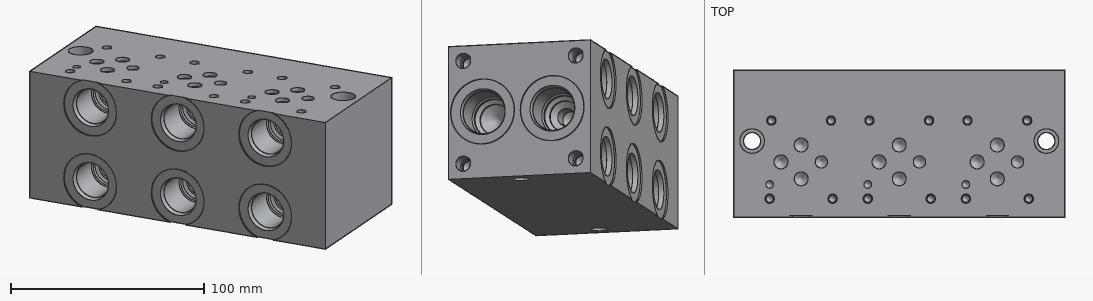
import cadquery as cq
import math

LENGTH = 171.5
WIDTH = 76.1
HEIGHT = 69.8

STATION_PITCH = 50.7
STATION_CENTRES = [LENGTH / 2 + i * STATION_PITCH for i in (-1, 0, 1)]

SPOTFACE_DEPTH = 0.9
SEAT_DEPTH = 2.5
THREAD_DEPTH = 20.5
TAP_DRILL_DEPTH = 23.1
FEED_DEPTH = 25.7
SIDE_PORT = {"spotface": 30.5, "seat": 20.5, "seat_end": 19.2, "thread": 19.0, "tap_drill": 17.5, "feed": 14.2}
END_PORT = {"spotface": 34.1, "seat": 24.0, "seat_end": 22.6, "thread": 22.3, "tap_drill": 20.4, "feed": 16.0}

SIDE_PORT_EDGE = 14.5
RETURN_PORT_Y = 58.0
PRESSURE_PORT_Y = 20.5
PRESSURE_DRILL = 9.1
PRESSURE_DRILL_DEPTH = 37.7

BOLT_THREAD = 4.8
BOLT_THREAD_DEPTH = 10.3
BOLT_DRILL = 3.8
BOLT_DRILL_DEPTH = 13.7
FRONT_BOLT_Y = 9.6
FRONT_BOLT_X = 16.3
BOLT_SPACING_Y = 40.5
REAR_BOLT_Y = FRONT_BOLT_Y + BOLT_SPACING_Y
REAR_BOLT_X = 15.5
LOCATOR_DIAMETER = 4.0
LOCATOR_DEPTH = 5.1
LOCATOR_Y = 17.0
FLOW_DIAMETER = 7.2
FLOW_SMALL_DIAMETER = 6.3
FLOW_DEPTH = 2.0
FLOW_CENTRE_Y = 28.6
FLOW_X = 10.5
FLOW_Y = 8.7

MOUNT_EDGE = 9.6
MOUNT_Y = 39.5
MOUNT_DIAMETER = 8.7
MOUNT_COUNTERBORE = 12.7
MOUNT_COUNTERBORE_DEPTH = 12.0

END_TAP_EDGE = 7.9
END_TAP_THREAD = 7.9
END_TAP_THREAD_DEPTH = 9.5
END_TAP_DRILL = 6.5
END_TAP_DRILL_DEPTH = 12.0

TIP_HALF_ANGLE = 59.0

INTO_TOP = cq.Vector(0, 0, -1)
INTO_FRONT = cq.Vector(0, 1, 0)
INTO_END = cq.Vector(1, 0, 0)


def revolved_cutter(profile, position, direction):
    """Solid of revolution from (radius, depth) points, driven in from position."""
    cutter = cq.Workplane("XY").polyline(profile).close().revolve(360, (0, 0, 0), (0, 1, 0))
    cutter = cutter.rotate((0, 0, 0), (1, 0, 0), 90)
    plane = cq.Plane(origin=position, normal=direction.toTuple())
    return cutter.val().moved(cq.Location(plane))


def drilled_profile(steps):
    """Profile of successively narrower drills, given as (diameter, depth) steps.

    Each drill leaves a cone of the drill point angle below its straight wall.
    """
    slope = math.tan(math.radians(TIP_HALF_ANGLE))
    profile = []
    next_radii = [diameter / 2 for diameter, depth in steps[1:]] + [0]
    for (diameter, depth), next_radius in zip(steps, next_radii):
        radius = diameter / 2
        profile.append((radius, depth))
        profile.append((next_radius, depth + (radius - next_radius) / slope))
    return profile


def drilled_hole(steps, position, direction):
    mouth = [(0, 0), (steps[0][0] / 2, 0)]
    return revolved_cutter(mouth + drilled_profile(steps), position, direction)


def port(sizes, position, direction):
    seat_end_depth = SPOTFACE_DEPTH + SEAT_DEPTH
    mouth = [
        (0, 0),
        (sizes["spotface"] / 2, 0),
        (sizes["spotface"] / 2, SPOTFACE_DEPTH),
        (sizes["seat"] / 2, SPOTFACE_DEPTH),
        (sizes["seat_end"] / 2, seat_end_depth),
        (sizes["thread"] / 2, seat_end_depth),
    ]
    steps = [
        (sizes["thread"], THREAD_DEPTH),
        (sizes["tap_drill"], TAP_DRILL_DEPTH),
        (sizes["feed"], FEED_DEPTH),
    ]
    return revolved_cutter(mouth + drilled_profile(steps), position, direction)


def valve_station(x):
    """Cutters for one valve pattern on the top face and its two front ports."""
    cutters = []
    bolt_steps = [(BOLT_THREAD, BOLT_THREAD_DEPTH), (BOLT_DRILL, BOLT_DRILL_DEPTH)]
    for side in (-1, 1):
        for offset, y in ((FRONT_BOLT_X, FRONT_BOLT_Y), (REAR_BOLT_X, REAR_BOLT_Y)):
            position = (x + side * offset, y, HEIGHT)
            cutters.append(drilled_hole(bolt_steps, position, INTO_TOP))
        work_port = (x, FLOW_CENTRE_Y + side * FLOW_Y, HEIGHT)
        cutters.append(drilled_hole([(FLOW_DIAMETER, FLOW_DEPTH)], work_port, INTO_TOP))
    for offset, diameter in ((-FLOW_X, FLOW_DIAMETER), (FLOW_X, FLOW_SMALL_DIAMETER)):
        position = (x + offset, FLOW_CENTRE_Y, HEIGHT)
        cutters.append(drilled_hole([(diameter, FLOW_DEPTH)], position, INTO_TOP))
    locator = (x - FRONT_BOLT_X, LOCATOR_Y, HEIGHT)
    cutters.append(drilled_hole([(LOCATOR_DIAMETER, LOCATOR_DEPTH)], locator, INTO_TOP))
    for z in (SIDE_PORT_EDGE, HEIGHT - SIDE_PORT_EDGE):
        cutters.append(port(SIDE_PORT, (x, 0, z), INTO_FRONT))
    return cutters


def end_face():
    """Cutters for the pressure and return ports and the four corner taps."""
    middle = HEIGHT / 2
    cutters = [port(END_PORT, (0, y, middle), INTO_END) for y in (PRESSURE_PORT_Y, RETURN_PORT_Y)]
    pressure = (0, PRESSURE_PORT_Y, middle)
    cutters.append(drilled_hole([(PRESSURE_DRILL, PRESSURE_DRILL_DEPTH)], pressure, INTO_END))
    tap_steps = [(END_TAP_THREAD, END_TAP_THREAD_DEPTH), (END_TAP_DRILL, END_TAP_DRILL_DEPTH)]
    for y in (END_TAP_EDGE, WIDTH - END_TAP_EDGE):
        for z in (END_TAP_EDGE, HEIGHT - END_TAP_EDGE):
            cutters.append(drilled_hole(tap_steps, (0, y, z), INTO_END))
    return cutters


block = cq.Workplane("XY").box(LENGTH, WIDTH, HEIGHT, centered=False)
block = (
    block.faces(">Z").workplane(origin=(0, 0, HEIGHT))
    .pushPoints([(MOUNT_EDGE, MOUNT_Y), (LENGTH - MOUNT_EDGE, MOUNT_Y)])
    .cboreHole(MOUNT_DIAMETER, MOUNT_COUNTERBORE, MOUNT_COUNTERBORE_DEPTH)
)
cutters = end_face()
for station_x in STATION_CENTRES:
    cutters += valve_station(station_x)
for cutter in cutters:
    block = block.cut(cq.Workplane(obj=cutter))

result = block